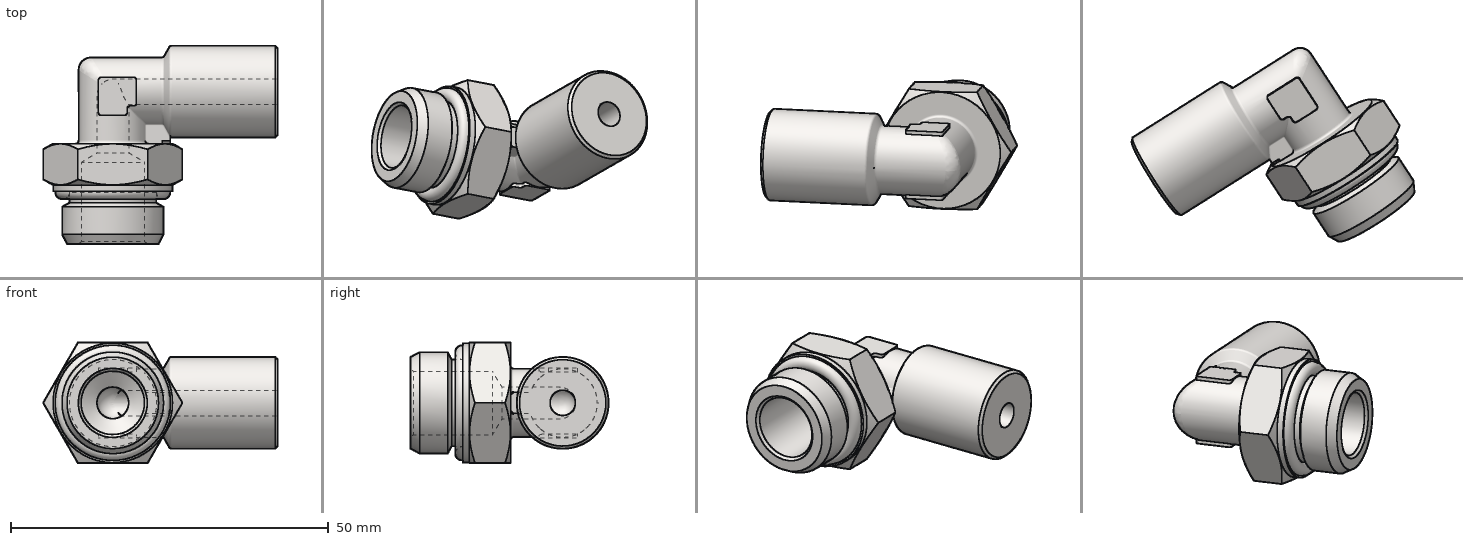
import cadquery as cq
import math


overall_length = 36.97
overall_width = 31.25

hex_across_flats = 19.0
hex_across_corners = hex_across_flats / math.cos(math.radians(30))
hex_top = -8.17
hex_bottom = -14.7
hex_face_diameter = 18.8
hex_chamfer_angle = 30.0

outlet_diameter = 14.5
outlet_end = overall_length - hex_across_corners / 2
outlet_end_chamfer = 0.45
outlet_shoulder_start = 7.95
outlet_shoulder_angle = 60.0
outlet_shoulder_round = 0.45

tube_diameter = 10.8
tube_radius = tube_diameter / 2
elbow_corner_round = 2.0
elbow_crease_round = 0.22
tube_base_round = 0.45

pad_size = 6.0
pad_min_x = -2.25
pad_max_y = 2.25
pad_height = 5.5
pad_notch = 1.48
pad_corner_round = 0.45

web_half_thickness = 1.65
web_end = 9.05
web_round = 0.22
web_bevel_length = 1.25
web_bevel_size = 0.4

stud_end = outlet_diameter / 2 - overall_width
washer_bottom = -15.7
neck_diameter = 13.7
neck_bottom = -17.5
thread_diameter = 16.0
thread_top = -18.1
thread_bottom = -22.48
stud_tip_diameter = 14.4

ring_section_radius = 1.1
ring_bottom = -16.95

stud_bore_diameter = 10.0
stud_bore_chamfer = 0.45
stud_bore_bottom = -11.1
drill_point_half_angle = 59.0
inlet_bore_diameter = 5.0
outlet_bore_diameter = 4.0


def revolve_about_y(profile):
    """Revolve (radius, y) points into a solid about the Y axis."""
    points = [(0, profile[0][1])] + profile + [(0, profile[-1][1])]
    return cq.Workplane("XY").polyline(points).close().revolve(360, (0, 0), (0, 1))


def plan_prism(corners, half_height):
    """Extrude an outline in the XY plane equally up and down."""
    return cq.Workplane("XY").polyline(corners).close().extrude(half_height, both=True)


def make_elbow():
    """Two equal mitred tubes with a flat pad above and below and a rounded outer corner."""
    span = overall_length
    outlet_side = plan_prism([(-span, span), (span, span), (span, -span)], span)
    stud_side = plan_prism([(-span, span), (-span, -span), (span, -span)], span)
    tube_start = -tube_radius
    outlet_tube = cq.Workplane("YZ", origin=(tube_start, 0, 0)).circle(tube_radius)
    outlet_tube = outlet_tube.extrude(outlet_shoulder_start - tube_start).intersect(outlet_side)
    stud_tube = cq.Workplane("XZ", origin=(0, -tube_start, 0)).circle(tube_radius)
    stud_tube = stud_tube.extrude(-tube_start - hex_top).intersect(stud_side)

    pad_center = (pad_min_x + pad_size / 2, pad_max_y - pad_size / 2)
    pad = cq.Workplane("XY").center(*pad_center).rect(pad_size, pad_size).extrude(pad_height, both=True)
    notch_center = (pad_min_x + pad_size - pad_notch / 2, pad_max_y - pad_size + pad_notch / 2)
    notch = cq.Workplane("XY").center(*notch_center).rect(pad_notch, pad_notch)
    pad = pad.cut(notch.extrude(pad_height, both=True))
    pad = pad.edges("|Z").fillet(pad_corner_round)

    elbow = outlet_tube.union(stud_tube).union(pad)
    middle = tube_radius / 2
    outer_corner = cq.selectors.BoxSelector(
        (-tube_radius, middle, -tube_radius), (-middle, tube_radius, tube_radius))
    return elbow.edges("%ELLIPSE").edges(outer_corner).fillet(elbow_corner_round)


def make_web():
    """Flat web between stud tube, outlet and hexagon, undercut at its free lower corners."""
    web = plan_prism([(0, 0), (web_end, 0), (web_end, hex_top), (0, hex_top)], web_half_thickness)
    bevel = (
        cq.Workplane("YZ", origin=(web_end - web_bevel_length, 0, 0))
        .moveTo(hex_top, web_half_thickness)
        .lineTo(hex_top + web_bevel_size, web_half_thickness)
        .lineTo(hex_top, web_half_thickness - web_bevel_size)
        .close()
        .extrude(web_bevel_length)
    )
    return web.cut(bevel).cut(bevel.mirror("XY"))


def make_outlet():
    """Outlet sleeve with a conical shoulder and a chamfered end."""
    outlet_radius = outlet_diameter / 2
    shoulder_length = (outlet_radius - tube_radius) / math.tan(math.radians(outlet_shoulder_angle))
    shoulder_end = outlet_shoulder_start + shoulder_length
    profile = [
        (outlet_shoulder_start, 0),
        (outlet_shoulder_start, tube_radius),
        (shoulder_end, outlet_radius),
        (outlet_end - outlet_end_chamfer, outlet_radius),
        (outlet_end, outlet_radius - outlet_end_chamfer),
        (outlet_end, 0),
    ]
    return cq.Workplane("XY").polyline(profile).close().revolve(360, (0, 0), (1, 0))


def make_hexagon():
    """Hexagon with its corners along X, chamfered on both faces."""
    height = hex_top - hex_bottom
    hexagon = cq.Workplane("XZ", origin=(0, hex_top, 0)).polygon(6, hex_across_corners).extrude(height)
    corner_radius = hex_across_corners / 2
    face_radius = hex_face_diameter / 2
    drop = (corner_radius - face_radius) * math.tan(math.radians(hex_chamfer_angle))
    return hexagon.intersect(revolve_about_y([
        (face_radius, hex_top),
        (corner_radius, hex_top - drop),
        (corner_radius, hex_bottom + drop),
        (face_radius, hex_bottom),
    ]))


def make_tube_base():
    """Concave round where the stud tube meets the hexagon."""
    radius = tube_base_round
    arc_inset = radius * (1 - math.sqrt(0.5))
    profile = (
        cq.Workplane("XY")
        .moveTo(0, hex_top)
        .lineTo(tube_radius + radius, hex_top)
        .threePointArc((tube_radius + arc_inset, hex_top + arc_inset), (tube_radius, hex_top + radius))
        .lineTo(0, hex_top + radius)
        .close()
    )
    return profile.revolve(360, (0, 0), (0, 1))


def make_stud():
    """Washer face, neck and plain thread cylinder with a tapered tip."""
    return revolve_about_y([
        (hex_face_diameter / 2, hex_bottom),
        (hex_face_diameter / 2, washer_bottom),
        (neck_diameter / 2, washer_bottom),
        (neck_diameter / 2, neck_bottom),
        (thread_diameter / 2, thread_top),
        (thread_diameter / 2, thread_bottom),
        (stud_tip_diameter / 2, stud_end),
    ])


def make_sealing_ring():
    """O-ring sitting on the neck, pressed against the washer face."""
    center_radius = neck_diameter / 2 + ring_section_radius
    section = cq.Workplane("XY").center(center_radius, ring_bottom + ring_section_radius)
    return section.circle(ring_section_radius).revolve(
        360, (-center_radius, 0), (-center_radius, 1))


def make_bores():
    """Stepped stud bore with a domed end, and the outlet bore that meets it."""
    stud_radius = stud_bore_diameter / 2
    inlet_radius = inlet_bore_diameter / 2
    outlet_radius = outlet_bore_diameter / 2
    point_length = (stud_radius - inlet_radius) / math.tan(math.radians(drill_point_half_angle))
    dome_center = outlet_radius - inlet_radius
    stud_bore = revolve_about_y([
        (stud_radius + stud_bore_chamfer, stud_end),
        (stud_radius, stud_end + stud_bore_chamfer),
        (stud_radius, stud_bore_bottom),
        (inlet_radius, stud_bore_bottom + point_length),
        (inlet_radius, dome_center),
    ])
    dome = cq.Workplane("XY", origin=(0, dome_center, 0)).sphere(inlet_radius)
    outlet_bore = cq.Workplane("YZ").circle(outlet_radius).extrude(outlet_end)
    return stud_bore.union(dome).union(outlet_bore)


def join_elbow_and_outlet():
    """Elbow and outlet with rounds along the inner mitre crease and on both shoulder edges."""
    body = make_elbow().union(make_outlet())
    inner_corner = cq.selectors.BoxSelector(
        (pad_notch, -tube_radius, -tube_radius), (tube_radius, -pad_notch, tube_radius))
    body = body.edges("%ELLIPSE").edges(inner_corner).fillet(elbow_crease_round)
    reach = outlet_diameter
    shoulder = cq.selectors.BoxSelector(
        (outlet_shoulder_start - outlet_shoulder_round, -reach, -reach),
        (web_end + outlet_shoulder_round, reach, reach))
    return body.edges("%CIRCLE").edges(shoulder).fillet(outlet_shoulder_round)


def add_web(body):
    """Join the web to the body and round the corners where it meets the tubes."""
    joined = body.union(make_web())
    reach = web_half_thickness + web_round
    corner = cq.selectors.BoxSelector(
        (tube_radius / 2, hex_top + web_bevel_size, -reach),
        (outlet_shoulder_start, -tube_radius / 2, reach))
    return joined.edges(corner).fillet(web_round)


fitting = add_web(join_elbow_and_outlet())
for feature in (make_hexagon(), make_tube_base(), make_stud(), make_sealing_ring()):
    fitting = fitting.union(feature)
result = fitting.cut(make_bores())